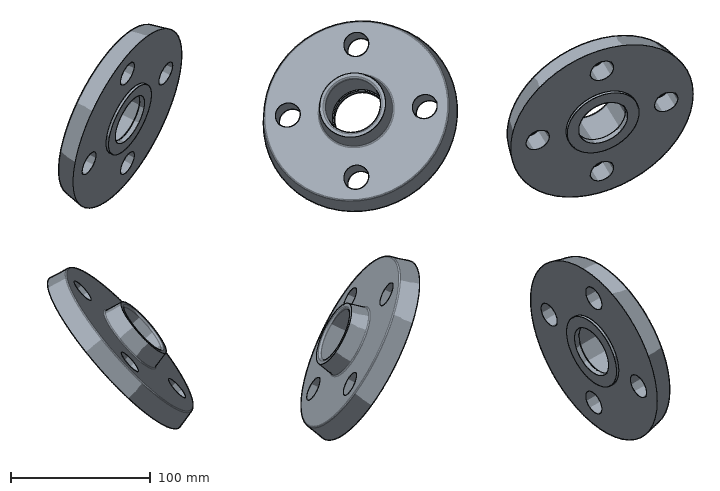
import cadquery as cq

TOTAL_LENGTH = 30.5
HUB_LENGTH = 13.3
RAISED_FACE_HEIGHT = 2.1
LIP_LENGTH = 4.3

FLANGE_BACK_DIAMETER = 135.2
FLANGE_DIAMETER = 142.0
HUB_END_DIAMETER = 48.3
HUB_BASE_DIAMETER = 54.0
RAISED_FACE_DIAMETER = 56.0
EDGE_FILLET = 1.0

BORE_DIAMETER = 40.0
LIP_DIAMETER = 38.0
BORE_MOUTH_FILLET = 1.5

BOLT_HOLE_DIAMETER = 18.0
BOLT_CIRCLE_DIAMETER = 100.0
BOLT_COUNT = 4

flange_front = TOTAL_LENGTH - RAISED_FACE_HEIGHT
lip_start = TOTAL_LENGTH - LIP_LENGTH


def circles_within(x, diameter):
    """Selector for the circular edges at one axial position, up to a given diameter."""
    margin = 0.07
    reach = diameter / 2 + margin
    return cq.selectors.BoxSelector(
        (x - margin, -reach, -reach), (x + margin, reach, reach), boundingbox=True
    )


def make_body():
    """Solid of revolution: tapered hub, tapered flange and raised face."""
    outline = (
        cq.Workplane("XY")
        .moveTo(0, 0)
        .lineTo(0, HUB_END_DIAMETER / 2)
        .lineTo(HUB_LENGTH, HUB_BASE_DIAMETER / 2)
        .lineTo(HUB_LENGTH, FLANGE_BACK_DIAMETER / 2)
        .lineTo(flange_front, FLANGE_DIAMETER / 2)
        .lineTo(flange_front, RAISED_FACE_DIAMETER / 2)
        .lineTo(TOTAL_LENGTH, RAISED_FACE_DIAMETER / 2)
        .lineTo(TOTAL_LENGTH, 0)
        .close()
    )
    body = outline.revolve(360, (0, 0, 0), (1, 0, 0))
    return body.edges(circles_within(HUB_LENGTH, FLANGE_BACK_DIAMETER)).fillet(EDGE_FILLET)


def cut_bore(body):
    """Bore from the hub end, narrowed by a lip at the raised face."""
    hub_end = cq.Workplane("YZ")
    passage = hub_end.circle(LIP_DIAMETER / 2).extrude(TOTAL_LENGTH)
    bore = hub_end.circle(BORE_DIAMETER / 2).extrude(lip_start)
    body = body.cut(passage).cut(bore)
    return body.edges(circles_within(0, BORE_DIAMETER)).fillet(BORE_MOUTH_FILLET)


def cut_bolt_holes(body):
    """Through holes on the bolt circle, the first on the Y axis."""
    holes = (
        cq.Workplane("YZ")
        .polarArray(BOLT_CIRCLE_DIAMETER / 2, 0, 360, BOLT_COUNT)
        .circle(BOLT_HOLE_DIAMETER / 2)
        .extrude(TOTAL_LENGTH)
    )
    return body.cut(holes)


result = cut_bolt_holes(cut_bore(make_body()))